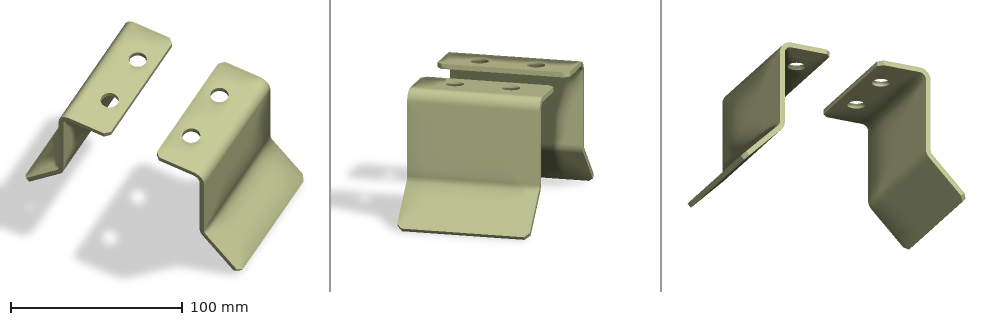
import cadquery as cq
import math

overall_length = 144.2
overall_height = 79.1
bracket_width = 80.0
thickness = 3.0
inner_radius = 4.0
flange_length = 33.0
leg_length = 32.0
leg_angle = math.radians(45)
corner_chamfer = 3.0
hole_diameter = 10.5
hole_spacing = 34.0
hole_edge_distance = 11.8

outer_radius = inner_radius + thickness
sin_leg = math.sin(leg_angle)
cos_leg = math.cos(leg_angle)
lower_bend_x = -overall_length / 2 + leg_length * sin_leg - inner_radius * cos_leg
lower_bend_z = -overall_height + leg_length * cos_leg + outer_radius * sin_leg
wall_outer_x = lower_bend_x + inner_radius
wall_inner_x = wall_outer_x + thickness
flange_end_x = wall_outer_x + flange_length
upper_bend_x = wall_outer_x + outer_radius
upper_bend_z = -outer_radius


def upper_bend_point(radius):
    """Middle of the upper bend's arc of the given radius."""
    offset = radius * math.sqrt(0.5)
    return (upper_bend_x - offset, upper_bend_z + offset)


def lower_bend_point(radius, angle):
    """Point on the lower bend, turned down from the wall by the given angle."""
    return (lower_bend_x + radius * math.cos(angle), lower_bend_z - radius * math.sin(angle))


def leg_tip(radius):
    """End of the leg face that leaves the lower bend at the given radius."""
    x, z = lower_bend_point(radius, leg_angle)
    return (x - leg_length * sin_leg, z - leg_length * cos_leg)


def bent_sheet():
    """Flange, wall and splayed leg as one bent strip, centred on Y = 0."""
    return (
        cq.Workplane("XZ")
        .moveTo(flange_end_x, 0)
        .lineTo(upper_bend_x, 0)
        .threePointArc(upper_bend_point(outer_radius), (wall_outer_x, upper_bend_z))
        .lineTo(wall_outer_x, lower_bend_z)
        .threePointArc(
            lower_bend_point(inner_radius, leg_angle / 2),
            lower_bend_point(inner_radius, leg_angle),
        )
        .lineTo(*leg_tip(inner_radius))
        .lineTo(*leg_tip(outer_radius))
        .lineTo(*lower_bend_point(outer_radius, leg_angle))
        .threePointArc(
            lower_bend_point(outer_radius, leg_angle / 2),
            (wall_inner_x, lower_bend_z),
        )
        .lineTo(wall_inner_x, upper_bend_z)
        .threePointArc(upper_bend_point(inner_radius), (upper_bend_x, -thickness))
        .lineTo(flange_end_x, -thickness)
        .close()
        .extrude(bracket_width / 2, both=True)
    )


def chamfer_corners(sheet):
    """Cut the corners at the flange's free edge and at the leg's tip."""
    sheet = sheet.faces(">X").edges("|Z").chamfer(corner_chamfer)
    across_leg = cq.Vector(cos_leg, 0, -sin_leg)
    tip_corners = cq.selectors.ParallelDirSelector(across_leg)
    along_leg = cq.Vector(-sin_leg, 0, -cos_leg)
    tip_face = cq.selectors.DirectionMinMaxSelector(along_leg)
    return sheet.faces(tip_face).edges(tip_corners).chamfer(corner_chamfer)


def drill_flange(sheet):
    """Drill the two through holes along the flange."""
    hole_x = flange_end_x - hole_edge_distance
    holes = (
        cq.Workplane("XY")
        .pushPoints([(hole_x, side * hole_spacing / 2) for side in (-1, 1)])
        .circle(hole_diameter / 2)
        .extrude(-thickness)
    )
    return sheet.cut(holes)


def make_bracket(turn):
    """One complete bracket, turned about Z by the given angle in degrees."""
    bracket = drill_flange(chamfer_corners(bent_sheet()))
    return bracket.rotate((0, 0, 0), (0, 0, 1), turn).solids()


brackets = [make_bracket(turn) for turn in (0, 180)]

result = cq.Compound.makeCompound([bracket.val() for bracket in brackets])